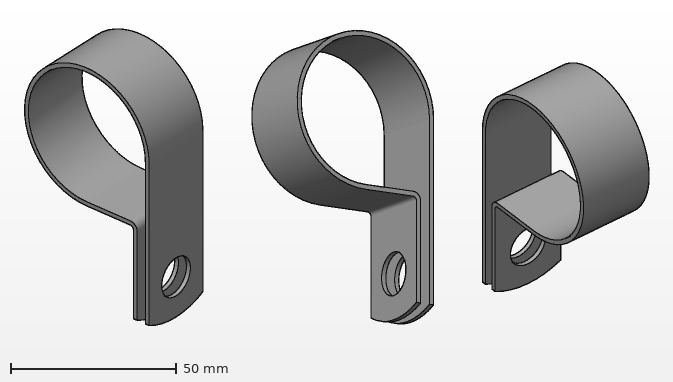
import cadquery as cq
import math

strap_width = 25.4
thickness = 1.524
outer_diameter = 49.07
overall_height = 84.84
leg_gap = 3.175
bend_inner_radius = 1.27
hole_diameter = 13.49
hole_height = 14.29
tip_radius = 28.575

outer_radius = outer_diameter / 2
inner_radius = outer_radius - thickness
bend_outer_radius = bend_inner_radius + thickness
tip_z = outer_radius - overall_height
long_leg_inner_x = inner_radius
short_leg_right_x = long_leg_inner_x - leg_gap
short_leg_left_x = short_leg_right_x - thickness
bend_center_x = short_leg_right_x - bend_outer_radius
bend_center_z = -inner_radius - bend_outer_radius
diagonal = math.cos(math.radians(45))


def make_strap():
    """Bent strip: long leg, three-quarter loop, flat shelf and short leg."""
    profile = (
        cq.Workplane("XZ")
        .moveTo(outer_radius, tip_z)
        .lineTo(outer_radius, 0)
        .threePointArc((-outer_radius * diagonal, outer_radius * diagonal), (0, -outer_radius))
        .lineTo(bend_center_x, -outer_radius)
        .threePointArc(
            (bend_center_x + bend_inner_radius * diagonal, bend_center_z + bend_inner_radius * diagonal),
            (short_leg_left_x, bend_center_z),
        )
        .lineTo(short_leg_left_x, tip_z)
        .lineTo(short_leg_right_x, tip_z)
        .lineTo(short_leg_right_x, bend_center_z)
        .threePointArc(
            (bend_center_x + bend_outer_radius * diagonal, bend_center_z + bend_outer_radius * diagonal),
            (bend_center_x, -inner_radius),
        )
        .lineTo(0, -inner_radius)
        .threePointArc((-inner_radius * diagonal, inner_radius * diagonal), (inner_radius, 0))
        .lineTo(long_leg_inner_x, tip_z)
        .close()
    )
    return profile.extrude(strap_width / 2, both=True)


def make_tip_envelope():
    """Side silhouette of the strap, a rectangle with an arc at the lower end."""
    half_width = strap_width / 2
    tip_rise = tip_radius - math.sqrt(tip_radius**2 - half_width**2)
    return (
        cq.Workplane("YZ")
        .moveTo(-half_width, outer_radius)
        .lineTo(-half_width, tip_z + tip_rise)
        .threePointArc((0, tip_z), (half_width, tip_z + tip_rise))
        .lineTo(half_width, outer_radius)
        .close()
        .extrude(outer_radius, both=True)
    )


def make_bolt_hole():
    """Cylinder along X that passes through both legs."""
    return (
        cq.Workplane("YZ")
        .center(0, tip_z + hole_height)
        .circle(hole_diameter / 2)
        .extrude(outer_diameter)
    )


result = make_strap().intersect(make_tip_envelope()).cut(make_bolt_hole())